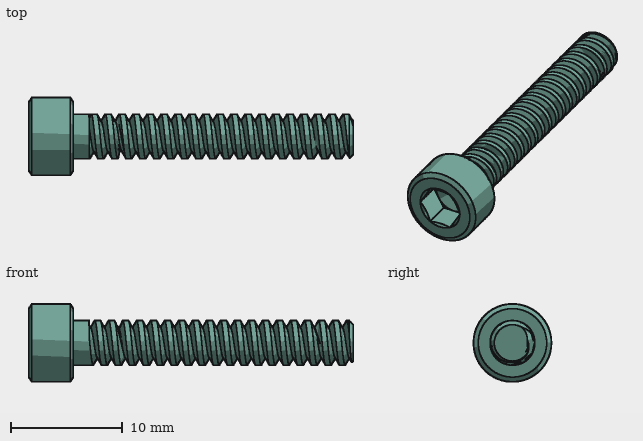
import cadquery as cq
import math

length = 29.0
head_diameter = 7.0
head_length = 4.0
head_chamfer_axial = 0.3
head_chamfer_radial = 0.44

shank_diameter = 4.0
neck_end = 5.4
tip_chamfer = 0.38

pitch = 1.25
crest_width = 0.5
groove_angle = 60.0
groove_place = 6.15
groove_turns = 20
cutter_overshoot = 0.1

socket_flats = 3.5
socket_depth = 2.46
floor_cone_angle = 120.0
mouth_cone_angle = 120.0

head_radius = head_diameter / 2
shank_radius = shank_diameter / 2
blank_end = length + 2 * pitch
socket_corners = socket_flats / math.cos(math.radians(30))


def revolve_about_x(points):
    """Turn an outline of (X, radius) points about the X axis."""
    return cq.Workplane("XY").polyline(points).close().revolve(360, (0, 0, 0), (1, 0, 0))


def make_head():
    face_radius = head_radius - head_chamfer_radial
    return revolve_about_x([
        (0, 0),
        (0, face_radius),
        (head_chamfer_axial, head_radius),
        (head_length - head_chamfer_axial, head_radius),
        (head_length, face_radius),
        (head_length, 0),
    ])


def make_socket():
    flat_radius = socket_flats / 2
    corner_radius = socket_corners / 2
    floor_rise = flat_radius / math.tan(math.radians(floor_cone_angle / 2))
    mouth_rise = corner_radius / math.tan(math.radians(mouth_cone_angle / 2))
    hexagon = (
        cq.Workplane("YZ")
        .polygon(6, socket_corners)
        .extrude(socket_depth)
    )
    floor = revolve_about_x([
        (socket_depth, 0),
        (socket_depth, flat_radius),
        (socket_depth + floor_rise, 0),
    ])
    mouth = revolve_about_x([(0, 0), (0, corner_radius), (mouth_rise, 0)])
    return hexagon.union(floor).union(mouth)


def make_cylinder(start, end):
    """Cylinder of the shank diameter between two X places."""
    return cq.Workplane("YZ", origin=(start, 0, 0)).circle(shank_radius).extrude(end - start)


def make_tip_trim():
    """Everything past the end of the screw and outside its tip chamfer."""
    trim_radius = shank_radius + tip_chamfer
    return revolve_about_x([
        (length, 0),
        (length, shank_radius - tip_chamfer),
        (length - 2 * tip_chamfer, trim_radius),
        (blank_end, trim_radius),
        (blank_end, 0),
    ])


def make_thread_groove():
    """V groove swept up a helix about Z, then laid along X."""
    half_angle_slope = math.tan(math.radians(groove_angle / 2))
    groove_depth = (pitch - crest_width) / 2 / half_angle_slope
    root_radius = shank_radius - groove_depth
    outer_radius = shank_radius + cutter_overshoot
    outer_half_width = (outer_radius - root_radius) * half_angle_slope
    helix = cq.Wire.makeHelix(pitch, groove_turns * pitch, root_radius)
    groove = (
        cq.Workplane("XZ")
        .polyline([
            (root_radius, 0),
            (outer_radius, outer_half_width),
            (outer_radius, -outer_half_width),
        ])
        .close()
        .sweep(cq.Workplane(obj=helix), isFrenet=True)
    )
    start = groove_place - pitch
    return groove.rotate((0, 0, 0), (0, 1, 0), 90).translate((start, 0, 0))


threaded_shank = make_cylinder(head_length, blank_end).cut(make_thread_groove()).cut(make_tip_trim())
neck = make_cylinder(head_length, neck_end)
head = make_head().cut(make_socket())
result = head.union(neck).union(threaded_shank)